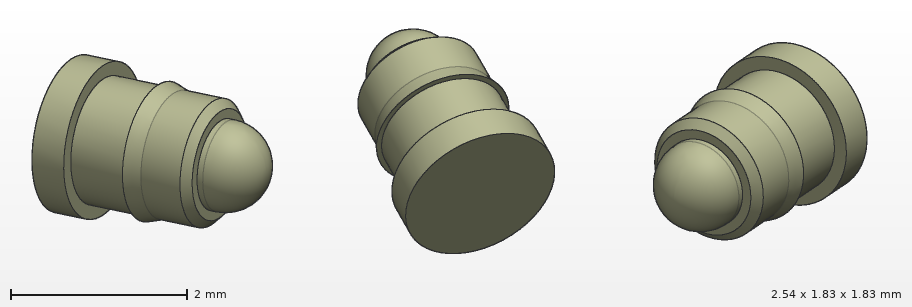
import cadquery as cq
import math

total_length = 2.54

head_radius = 0.915
head_end = 0.415

body_radius = 0.75
body_end = 1.933
body_chamfer = 0.102

barb_radius = 0.813
barb_start = 1.12
barb_end = 1.323

plunger_radius = 0.533
dome_start = total_length - plunger_radius
dome_mid_offset = plunger_radius * math.sqrt(0.5)

profile = (
    cq.Workplane("XZ")
    .moveTo(0, 0)
    .lineTo(0, head_radius)
    .lineTo(head_end, head_radius)
    .lineTo(head_end, body_radius)
    .lineTo(barb_start, body_radius)
    .lineTo(barb_start, barb_radius)
    .lineTo(barb_end, body_radius)
    .lineTo(body_end - body_chamfer, body_radius)
    .lineTo(body_end, body_radius - body_chamfer)
    .lineTo(body_end, plunger_radius)
    .lineTo(dome_start, plunger_radius)
    .threePointArc((dome_start + dome_mid_offset, dome_mid_offset), (total_length, 0))
    .close()
)

result = profile.revolve(360, (0, 0, 0), (1, 0, 0))